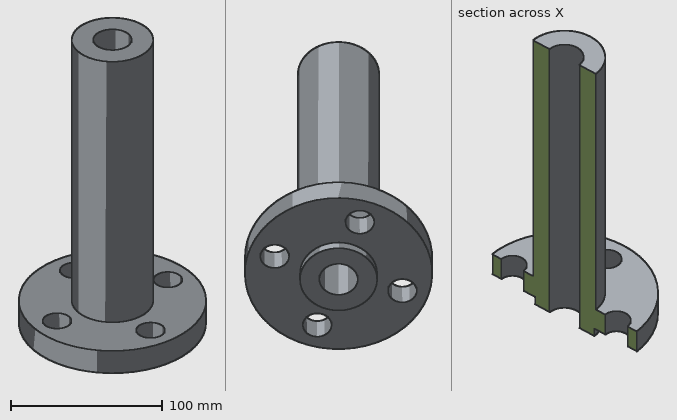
import cadquery as cq

total_height = 228.5
flange_diameter = 124.0
flange_thickness = 17.5
face_diameter = 51.0
face_height = 6.5
neck_diameter = 54.0
bore_diameter = 25.4

bolt_count = 4
bolt_hole_diameter = 19.0
bolt_circle_diameter = 89.0

flange_top = face_height + flange_thickness
neck_length = total_height - flange_top


def cylinder(diameter, base, height):
    """Upright cylinder on the main axis, starting at the given height."""
    return cq.Workplane("XY").workplane(offset=base).circle(diameter / 2).extrude(height)


raised_face = cylinder(face_diameter, 0, face_height)
flange = cylinder(flange_diameter, face_height, flange_thickness)
neck = cylinder(neck_diameter, flange_top, neck_length)
body = raised_face.union(flange).union(neck)

bore = cylinder(bore_diameter, 0, total_height)

bolt_holes = (
    cq.Workplane("XY")
    .workplane(offset=face_height)
    .polarArray(bolt_circle_diameter / 2, 0, 360, bolt_count)
    .circle(bolt_hole_diameter / 2)
    .extrude(flange_thickness)
)

result = body.cut(bore).cut(bolt_holes)